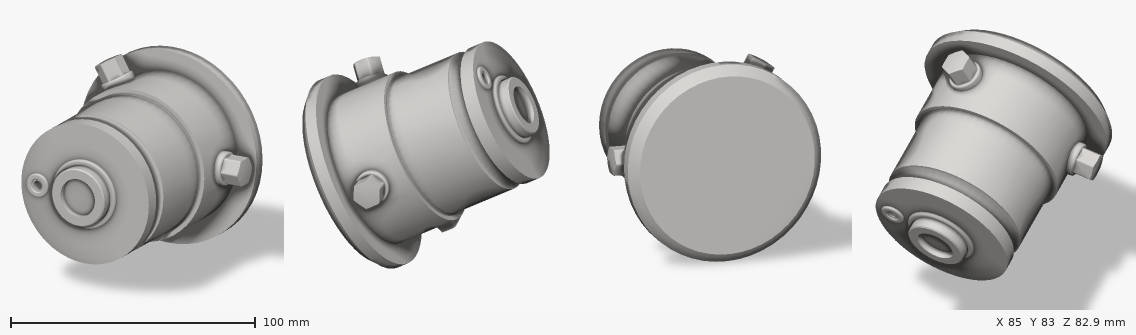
import cadquery as cq
import math


flange_radius = 41.45
flange_thickness = 9.0
flange_chamfer = 4.0

collar_radius = 32.5
collar_end = 36.1
cone_size = 0.4

body_radius = 30.0
body_end = 77.05
groove_radius = 3.0
groove_position = 68.05

washer_radius = 14.9
washer_thickness = 1.5
washer_fillet = 1.0
washer_hole_radius = 12.75
shaft_radius = 12.4
shaft_end = 83.0
shaft_chamfer = 0.5
bore_radius = 8.1
bore_depth = 3.0

plug_offset = 22.0
plug_radius = 5.1
plug_height = 1.2
plug_fillet = 0.8
socket_radius = 2.0
socket_depth = 5.1
rim_floor_radius = 2.6
rim_rounding = 0.7

bolt_count = 3
bolt_position = 21.0
bolt_tip = 43.5
hex_flats = 10.9
hex_corner_fillet = 0.85
dome_radius = 27.2
seat_radius = 7.05
seat_end = 35.1
seat_fillet = 0.85
bolt_root = 25.5


def facing_front(distance):
    """Workplane at a distance in front of the flange back, with its normal along -Y."""
    return cq.Workplane("XZ", origin=(0, -distance, 0))


def make_body():
    """Flange, collar, cone and grooved body as one revolved profile."""
    profile = (
        cq.Workplane("XY")
        .lineTo(flange_radius - flange_chamfer, 0)
        .lineTo(flange_radius, -flange_chamfer)
        .lineTo(flange_radius, -flange_thickness)
        .lineTo(collar_radius, -flange_thickness)
        .lineTo(collar_radius, -collar_end)
        .lineTo(body_radius + cone_size, -collar_end)
        .lineTo(body_radius, -collar_end - cone_size)
        .lineTo(body_radius, -groove_position + groove_radius)
        .threePointArc(
            (body_radius - groove_radius, -groove_position),
            (body_radius, -groove_position - groove_radius),
        )
        .lineTo(body_radius, -body_end)
        .lineTo(0, -body_end)
        .close()
    )
    return profile.revolve(360, (0, 0, 0), (0, 1, 0))


def make_washer():
    """Ring with a rounded outer rim, leaving a small gap around the shaft."""
    disc = facing_front(body_end).circle(washer_radius).extrude(washer_thickness)
    disc = disc.faces("<Y").edges().fillet(washer_fillet)
    hole = facing_front(body_end).circle(washer_hole_radius).extrude(washer_thickness)
    return disc.cut(hole)


def make_shaft_end():
    """Chamfered shaft end with a blind bore."""
    shaft = facing_front(body_end).circle(shaft_radius).extrude(shaft_end - body_end)
    shaft = shaft.faces("<Y").edges().chamfer(shaft_chamfer)
    bore = facing_front(shaft_end).circle(bore_radius).extrude(-bore_depth)
    return shaft.cut(bore)


def make_plug():
    """Screw plug head with a rounded rim."""
    head = facing_front(body_end).center(-plug_offset, 0).circle(plug_radius).extrude(plug_height)
    return head.faces("<Y").edges().fillet(plug_fillet)


def make_plug_socket():
    """Socket of the plug: a rounded mouth, a narrow flat ledge and a smaller blind hole."""
    mouth = -(body_end + plug_height)
    ledge = mouth + rim_rounding
    socket_floor = mouth + socket_depth
    arc_reach = rim_rounding * math.sqrt(0.5)
    mouth_radius = rim_floor_radius + rim_rounding
    profile = (
        cq.Workplane("XY", origin=(-plug_offset, 0, 0))
        .moveTo(0, mouth)
        .lineTo(mouth_radius, mouth)
        .threePointArc((mouth_radius - arc_reach, ledge - arc_reach), (rim_floor_radius, ledge))
        .lineTo(socket_radius, ledge)
        .lineTo(socket_radius, socket_floor)
        .lineTo(0, socket_floor)
        .close()
    )
    return profile.revolve(360, (0, 0, 0), (0, 1, 0))


def make_bolt():
    """Bolt pointing along +X: a round seat carrying a hexagon with a domed end."""
    root = cq.Workplane("YZ", origin=(bolt_root, -bolt_position, 0))
    seat = root.circle(seat_radius).extrude(seat_end - bolt_root).faces(">X").edges().fillet(seat_fillet)

    hex_corners = hex_flats / math.cos(math.radians(30))
    hexagon = root.polygon(6, hex_corners).extrude(bolt_tip - bolt_root)
    hexagon = hexagon.edges("|X").fillet(hex_corner_fillet)
    dome = cq.Workplane("XY").sphere(dome_radius)
    dome = dome.translate((bolt_tip - dome_radius, -bolt_position, 0))
    return seat.union(hexagon.intersect(dome))


result = make_body().union(make_washer()).union(make_shaft_end()).union(make_plug())
result = result.cut(make_plug_socket())

bolt = make_bolt()
for index in range(bolt_count):
    turn = index * 360 / bolt_count
    result = result.union(bolt.rotate((0, 0, 0), (0, 1, 0), turn))